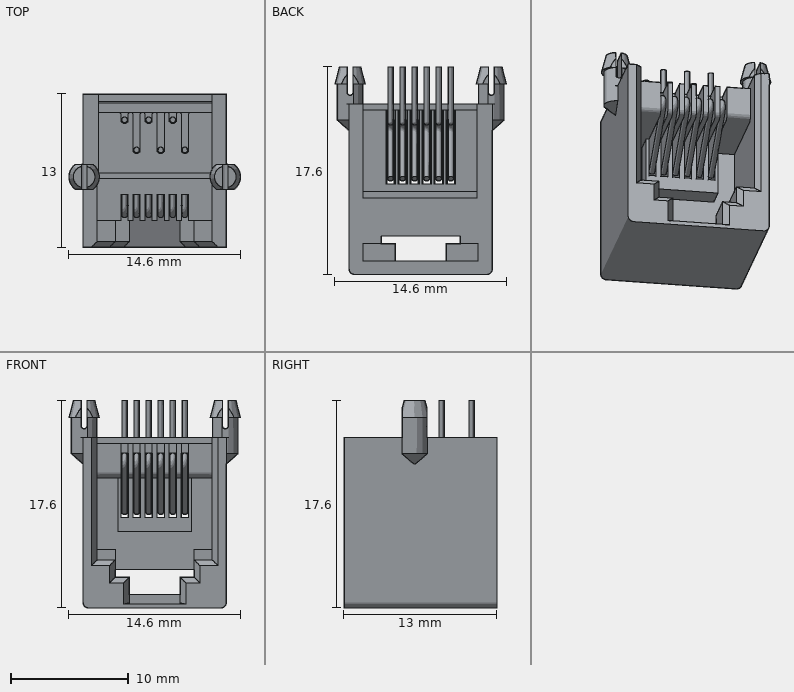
import cadquery as cq
import math


width = 12.2
depth = 13.0
height = 14.5
overall_width = 14.6
overall_height = 17.65
bottom_fillet = 0.5
mouth_chamfer = 0.5

cavity_half = 4.89
upper_ledge_z = 4.1
middle_half = 3.35
lower_ledge_z = 2.63
latch_half = 2.15
back_wall_y = 9.88

front_lip_z = 0.34
window_y = 3.57
window_floor_z = 1.16
window_top_z = 3.27

stop_y = 9.45
stop_top_z = 5.0

carrier_front_y = 2.26
carrier_bottom_z = 11.05
carrier_top_z = 13.98
carrier_fillet = 0.5
rib_y = 5.85
rib_width = 0.48
rear_left_x = -4.77
carrier_rear_y = 11.44

shelf_z = 7.06
shelf_edge_y = 12.27
shelf_drop = 0.53
shelf_slope_run = 0.15

comb_half = 3.1
comb_bottom_z = 6.53
comb_front_y = 7.85

contact_count = 6
contact_pitch = 1.02
wire_diameter = 0.48
wire_radius = wire_diameter / 2
wire_top_z = 13.18
bend_y = 3.39
bend_radius = 0.64
bend_angle = 145
wire_end_y = 8.22
pin_rows_y = (10.84, 8.28)

slot_width = 0.6
open_slot_rear_y = 4.47
slot_bottom_z = 7.71
tunnel_top_z = 13.17
groove_flare = 0.1

peg_x = 6.0
peg_y = 5.98
peg_radius = 1.1
peg_half_thickness = 1.06
peg_bottom_z = 13.13
peg_tip_height = 0.97
head_bottom_z = 16.19
head_bottom_radius = overall_width / 2 - peg_x
head_top_radius = 0.92
peg_slot_width = 0.48
peg_slot_bottom_z = 15.25
peg_slot_sag = 0.18


def block(x0, x1, y0, y1, z0, z1):
    return cq.Workplane("XY").box(x1 - x0, y1 - y0, z1 - z0, centered=False).translate((x0, y0, z0))


def centred_block(half, y0, y1, z0, z1):
    return block(-half, half, y0, y1, z0, z1)


def mouth_bevel(half, floor_z):
    """Tapered cutter that bevels one step of the mouth on both sides and along its floor."""
    top = height + mouth_chamfer
    outer = half + mouth_chamfer
    outer_floor = floor_z - mouth_chamfer
    return (
        cq.Workplane("XZ")
        .center(0, (outer_floor + top) / 2)
        .rect(2 * outer, top - outer_floor)
        .workplane(offset=-mouth_chamfer)
        .center(0, mouth_chamfer / 2)
        .rect(2 * half, top - floor_z)
        .loft(ruled=True)
    )


def latch_channel():
    """Channel with a sloping floor and bevelled sides at the mouth."""
    profile = (
        cq.Workplane("YZ")
        .moveTo(0, front_lip_z)
        .lineTo(window_y, window_floor_z)
        .lineTo(window_y, upper_ledge_z)
        .lineTo(0, upper_ledge_z)
        .close()
        .extrude(width / 2, both=True)
    )
    plan = (
        cq.Workplane("XY")
        .polyline([
            (-latch_half - mouth_chamfer, 0),
            (-latch_half, mouth_chamfer),
            (-latch_half, window_y),
            (latch_half, window_y),
            (latch_half, mouth_chamfer),
            (latch_half + mouth_chamfer, 0),
        ])
        .close()
        .extrude(height)
    )
    return profile.intersect(plan)


def shell():
    """Housing with its stepped plug cavity, latch channel and rear window."""
    body = centred_block(width / 2, 0, depth, 0, height)
    body = body.edges("|Y and <Z").fillet(bottom_fillet)
    body = body.cut(centred_block(cavity_half, 0, back_wall_y, upper_ledge_z, height))
    body = body.cut(centred_block(middle_half, 0, back_wall_y, lower_ledge_z, height))
    body = body.cut(mouth_bevel(cavity_half, upper_ledge_z))
    body = body.cut(mouth_bevel(middle_half, lower_ledge_z))
    body = body.cut(latch_channel())
    body = body.cut(centred_block(middle_half, window_y, depth, window_floor_z, window_top_z))
    body = body.cut(centred_block(cavity_half, window_y, depth, window_floor_z, lower_ledge_z))
    for side in (-1, 1):
        x0, x1 = sorted((side * middle_half, side * cavity_half))
        body = body.union(block(x0, x1, stop_y, back_wall_y, upper_ledge_z, stop_top_z))
    return body


def rear_clearance():
    """Open space behind the carrier, down to the stepped rear shelf."""
    low_z = shelf_z - shelf_drop
    profile = (
        cq.Workplane("YZ")
        .polyline([
            (carrier_rear_y, height),
            (carrier_rear_y, shelf_z),
            (shelf_edge_y, shelf_z),
            (shelf_edge_y + shelf_slope_run, low_z),
            (depth, low_z),
            (depth, height),
        ])
        .close()
        .extrude(cavity_half, both=True)
    )
    top_space = centred_block(cavity_half, rib_y + rib_width, depth, carrier_top_z, height)
    left_lip = block(-cavity_half, rear_left_x, rib_y, depth, 0, height)
    return profile.union(top_space).cut(left_lip)


def carrier():
    """Contact carrier with its cross rib, the comb below it and the thicker part of the left wall."""
    body = centred_block(cavity_half, carrier_front_y, back_wall_y, carrier_bottom_z, carrier_top_z)
    body = body.edges("|X and <Y and <Z").fillet(carrier_fillet)
    rib = centred_block(cavity_half, rib_y, rib_y + rib_width, carrier_top_z, height)
    comb = centred_block(comb_half, comb_front_y, back_wall_y, comb_bottom_z, carrier_bottom_z)
    lip = block(-cavity_half, rear_left_x, rib_y, back_wall_y, carrier_top_z, height)
    return body.union(rib).union(comb).union(lip)


def contact_slot(x, pin_y):
    """Open front slot, tunnel to the rear, and a groove from the pin to the back of the carrier."""
    half = slot_width / 2
    front_slot = block(x - half, x + half, carrier_front_y, open_slot_rear_y, slot_bottom_z, height)
    tunnel = block(x - half, x + half, carrier_front_y, depth, slot_bottom_z, tunnel_top_z)
    groove = block(x - half, x + half, pin_y, carrier_rear_y, slot_bottom_z, height)
    groove_end = (
        cq.Workplane("XY", origin=(x, pin_y, slot_bottom_z))
        .circle(half)
        .extrude(height - slot_bottom_z)
    )
    flare = (
        cq.Workplane("XY", origin=(x, carrier_rear_y, slot_bottom_z))
        .polyline([
            (-half - groove_flare, 0),
            (-half, -groove_flare),
            (half, -groove_flare),
            (half + groove_flare, 0),
        ])
        .close()
        .extrude(height - slot_bottom_z)
    )
    return front_slot.union(tunnel).union(groove).union(groove_end).union(flare)


def contact(x, pin_y):
    """Round wire: board pin, level run to the front, then a bend back down into the cavity."""
    run_z = wire_top_z - wire_radius
    bend_z = run_z - bend_radius

    def on_bend(degrees):
        angle = math.radians(degrees)
        return bend_y - bend_radius * math.sin(angle), bend_z + bend_radius * math.cos(angle)

    bend_end = on_bend(bend_angle)
    fall = math.tan(math.radians(180 - bend_angle))
    wire_end = (wire_end_y, bend_end[1] - fall * (wire_end_y - bend_end[0]))
    path = (
        cq.Workplane("YZ", origin=(x, 0, 0))
        .moveTo(pin_y, run_z)
        .lineTo(bend_y, run_z)
        .threePointArc(on_bend(bend_angle / 2), bend_end)
        .lineTo(*wire_end)
    )
    wire = cq.Workplane("XZ", origin=(x, pin_y, run_z)).circle(wire_radius).sweep(path)
    pin = (
        cq.Workplane("XY", origin=(x, pin_y, run_z))
        .circle(wire_radius)
        .extrude(overall_height - run_z)
    )
    elbow = cq.Workplane("XY").sphere(wire_radius).translate((x, pin_y, run_z))
    return wire.union(pin).union(elbow)


def peg(x):
    """Split snap peg with a conical tip, flattened front and rear above the housing."""
    body = (
        cq.Workplane("XZ")
        .polyline([
            (0, peg_bottom_z - peg_tip_height),
            (peg_radius, peg_bottom_z),
            (peg_radius, head_bottom_z),
            (head_bottom_radius, head_bottom_z),
            (head_top_radius, overall_height),
            (0, overall_height),
        ])
        .close()
        .revolve(360, (0, 0, 0), (0, 1, 0))
    )
    for y0, y1 in ((-depth, -peg_half_thickness), (peg_half_thickness, depth)):
        body = body.cut(centred_block(2 * peg_radius, y0, y1, height, overall_height))
    half = peg_slot_width / 2
    slot = (
        cq.Workplane("XZ")
        .moveTo(-half, overall_height)
        .lineTo(-half, peg_slot_bottom_z + peg_slot_sag)
        .threePointArc((0, peg_slot_bottom_z), (half, peg_slot_bottom_z + peg_slot_sag))
        .lineTo(half, overall_height)
        .close()
        .extrude(2 * peg_radius, both=True)
    )
    return body.cut(slot).translate((x, peg_y, 0))


result = shell().union(carrier())
result = result.cut(rear_clearance())

contacts = [
    ((i - (contact_count - 1) / 2) * contact_pitch, pin_rows_y[i % len(pin_rows_y)])
    for i in range(contact_count)
]
for x, pin_y in contacts:
    result = result.cut(contact_slot(x, pin_y))
for x, pin_y in contacts:
    result = result.union(contact(x, pin_y))
for side in (-1, 1):
    result = result.union(peg(side * peg_x))